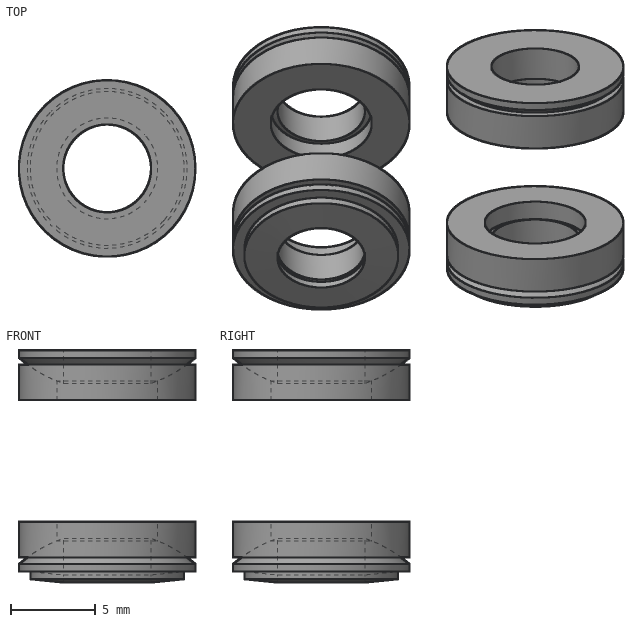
import cadquery as cq
import math

outer_radius = 10.5 / 2
washer_bore_radius = 2.6
ring_bore_radius = 3.0

sphere_radius = 8.0
flange_thickness = 0.45
sphere_center_height = flange_thickness - math.sqrt(sphere_radius**2 - outer_radius**2)
seat_gap = 0.4
ring_height = 2.12
pair_height = flange_thickness + seat_gap + ring_height

spring_outer_radius = 4.575
spring_bore_radius = 2.6
spring_thickness = 0.45
spring_dish = 0.2

total_height = 13.8
lower_pair_bottom = spring_thickness + spring_dish


def sphere_radius_at(height):
    """Radius of the spherical face at a given height above the flange base."""
    return math.sqrt(sphere_radius**2 - (height - sphere_center_height) ** 2)


def sphere_point(radius):
    """Profile point on the spherical face at a given radius."""
    return (radius, sphere_center_height + math.sqrt(sphere_radius**2 - radius**2))


def revolve_about_z(profile):
    """Turn a closed (radius, height) profile about the Z axis."""
    return profile.close().revolve(360, (0, 0, 0), (0, 1, 0))


def make_spherical_washer():
    """Flat flange at Z = 0 with a convex spherical face on top."""
    middle_radius = (outer_radius + washer_bore_radius) / 2
    profile = (
        cq.Workplane("XZ")
        .moveTo(washer_bore_radius, 0)
        .lineTo(outer_radius, 0)
        .lineTo(outer_radius, flange_thickness)
        .threePointArc(sphere_point(middle_radius), sphere_point(washer_bore_radius))
    )
    return revolve_about_z(profile)


def make_seat_ring():
    """Ring whose concave underside rests on the washer's spherical face."""
    ring_bottom = flange_thickness + seat_gap
    seat_rim_radius = sphere_radius_at(ring_bottom)
    middle_radius = (seat_rim_radius + ring_bore_radius) / 2
    profile = (
        cq.Workplane("XZ")
        .moveTo(seat_rim_radius, ring_bottom)
        .lineTo(outer_radius, ring_bottom)
        .lineTo(outer_radius, pair_height)
        .lineTo(ring_bore_radius, pair_height)
        .lineTo(*sphere_point(ring_bore_radius))
        .threePointArc(sphere_point(middle_radius), (seat_rim_radius, ring_bottom))
    )
    return revolve_about_z(profile)


def make_spring_washer():
    """Dished washer with its inner edge lowest, touching the pair at its outer rim."""
    profile = (
        cq.Workplane("XZ")
        .moveTo(spring_bore_radius, 0)
        .lineTo(spring_outer_radius, spring_dish)
        .lineTo(spring_outer_radius, spring_dish + spring_thickness)
        .lineTo(spring_bore_radius, spring_thickness)
    )
    return revolve_about_z(profile)


def place_lower(body):
    """Stand a body of the pair on the spring washer, flange down."""
    return body.translate((0, 0, lower_pair_bottom))


def place_upper(body):
    """Turn a body of the pair over, flange up, at the top of the stack."""
    return body.rotate((0, 0, 0), (1, 0, 0), 180).translate((0, 0, total_height))


bodies = [make_spring_washer().val()]
for place in (place_lower, place_upper):
    spherical_washer = place(make_spherical_washer())
    seat_ring = place(make_seat_ring())
    bodies += [spherical_washer.val(), seat_ring.val()]

result = cq.Compound.makeCompound(bodies)